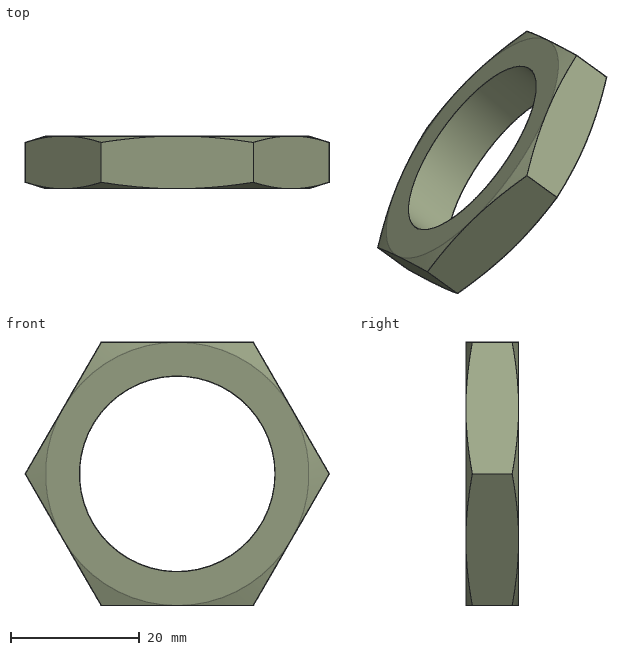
import cadquery as cq
import math

across_flats = 41.0
thickness = 8.2
bore_diameter = 30.4
corner_drop = 1.0

across_corners = across_flats / math.cos(math.radians(30))
flat_radius = across_flats / 2
corner_radius = across_corners / 2
half_thickness = thickness / 2


def hexagon_blank():
    """Hexagonal prism with two corners on the X axis."""
    return (
        cq.Workplane("XZ")
        .polygon(6, across_corners)
        .extrude(half_thickness, both=True)
    )


def chamfer_envelope():
    """Turned body whose cones start at the flats' inscribed circle on both faces."""
    corner_height = half_thickness - corner_drop
    profile = [
        (0, -half_thickness),
        (flat_radius, -half_thickness),
        (corner_radius, -corner_height),
        (corner_radius, corner_height),
        (flat_radius, half_thickness),
        (0, half_thickness),
    ]
    return cq.Workplane("XY").polyline(profile).close().revolve(360, (0, 0, 0), (0, 1, 0))


def bore():
    """Plain through hole along the nut axis."""
    return (
        cq.Workplane("XZ")
        .circle(bore_diameter / 2)
        .extrude(thickness, both=True)
    )


result = hexagon_blank().intersect(chamfer_envelope()).cut(bore())